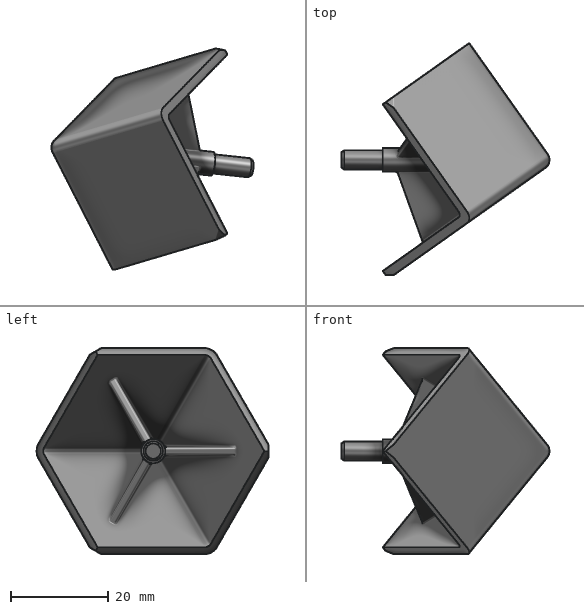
import cadquery as cq
import math

cube_edge = 30.0
wall = 2.0
outer_round = 2.0
inner_round = 1.0
tip_flat_radius = 23.7
tip_flat_round = 0.5

collar_radius = 2.5
pin_radius = 2.0
pin_length = 8.5
pin_chamfer_length = 0.6
pin_chamfer_depth = 0.45
stem_buried_x = -3.8

rib_hub_drop = 3.0
rib_tip_radius = 17.03
rib_top_width = 1.5
rib_draft = 0.5
rib_edge_round = 0.5
rib_root_round = 0.5

inner_corner_x = -wall * math.sqrt(3)
collar_end_x = -(2 * cube_edge + wall) / math.sqrt(3)
pin_end_x = collar_end_x - pin_length
rib_hub_x = collar_end_x + rib_hub_drop
wall_slope = math.sqrt(2)
wall_count = 3
tolerance = 0.005


def turn(shape, index):
    """Turn a shape about the X axis to the given one of the three walls."""
    return shape.rotate((0, 0, 0), (1, 0, 0), index * 360 / wall_count)


def rounded_cube(size, corner_round):
    """Cube in the positive octant with the three edges at the origin rounded."""
    cube = cq.Workplane("XY").box(size, size, size, centered=False)
    corner_edges = [
        edge for edge in cube.edges().vals()
        if min(edge.startPoint().Length, edge.endPoint().Length) < tolerance
    ]
    return cube.newObject(corner_edges).fillet(corner_round)


def make_shell():
    outer = rounded_cube(cube_edge, outer_round)
    inner = rounded_cube(cube_edge, inner_round).translate((wall, wall, wall))
    shell = outer.cut(inner)

    tilt = math.degrees(math.asin(1 / math.sqrt(3)))
    shell = shell.rotate((0, 0, 0), (0, 0, 1), -45)
    shell = shell.rotate((0, 0, 0), (0, 1, 0), 180 + tilt)
    shell = shell.rotate((0, 0, 0), (1, 0, 0), 90)

    block = 2 * cube_edge
    outside = cq.Workplane("XY").box(2 * block, block, block)
    outside = outside.translate((0, -tip_flat_radius - block / 2, 0))
    for index in range(wall_count):
        shell = shell.cut(turn(outside, index))

    edge_x = -wall_slope * tip_flat_radius
    flat_edges = [
        edge for edge in shell.edges().vals()
        if abs(edge.startPoint().x - edge_x) < tolerance
        and abs(edge.endPoint().x - edge_x) < tolerance
    ]
    return shell.newObject(flat_edges).fillet(tip_flat_round)


def make_stem():
    profile = [
        (stem_buried_x, 0),
        (stem_buried_x, collar_radius),
        (collar_end_x, collar_radius),
        (collar_end_x, pin_radius),
        (pin_end_x + pin_chamfer_length, pin_radius),
        (pin_end_x, pin_radius - pin_chamfer_depth),
        (pin_end_x, 0),
    ]
    return cq.Workplane("XY").polyline(profile).close().revolve(360, (0, 0, 0), (1, 0, 0))


def make_rib():
    """Drafted rib toward -Y, reaching from the axis to the middle of the wall thickness."""
    root_axis_x = inner_corner_x / 2
    wall_surface_x = inner_corner_x - wall_slope * rib_tip_radius
    top_slope = (wall_surface_x - rib_hub_x) / (rib_tip_radius - collar_radius)

    top_axis_x = rib_hub_x - top_slope * collar_radius
    buried_radius = (root_axis_x - top_axis_x) / (top_slope + wall_slope)
    side = [
        (top_axis_x, 0),
        (root_axis_x + stem_buried_x, 0),
        (root_axis_x - wall_slope * collar_radius, -collar_radius),
        (root_axis_x - wall_slope * buried_radius, -buried_radius),
    ]
    side_prism = cq.Workplane("XY").polyline(side).close().extrude(collar_radius, both=True)

    half_top = rib_top_width / 2
    half_root = half_top + (root_axis_x - top_axis_x) * math.tan(math.radians(rib_draft))
    section = [
        (top_axis_x, half_top),
        (root_axis_x, half_root),
        (root_axis_x, -half_root),
        (top_axis_x, -half_top),
    ]
    section_prism = cq.Workplane("XZ").polyline(section).close().extrude(cube_edge)
    rib = side_prism.intersect(section_prism)

    top_edges = [
        edge for edge in rib.edges().vals()
        if abs(min(edge.startPoint().x, edge.endPoint().x) - top_axis_x) < tolerance
        and abs(min(edge.startPoint().y, edge.endPoint().y) + buried_radius) < tolerance
    ]
    return rib.newObject(top_edges).fillet(rib_edge_round)


def is_root_edge(edge):
    """True for an edge where the rib toward -Y meets the stem or the wall."""
    middle = edge.positionAt(0.5)
    beside_rib = abs(middle.z) < collar_radius / 2 and middle.y < -collar_radius / 2
    if not beside_rib or middle.x < rib_hub_x - rib_edge_round:
        return False
    on_wall = all(
        abs(point.x - inner_corner_x - wall_slope * point.y) < tolerance
        for point in (edge.startPoint(), middle, edge.endPoint())
    )
    on_stem = all(
        abs(math.hypot(point.y, point.z) - collar_radius) < tolerance
        for point in (edge.startPoint(), middle, edge.endPoint())
    )
    return on_wall or on_stem


def add_rib(body, index):
    """Join a rib to one wall and the stem, and fillet its root."""
    body = turn(body, -index).union(make_rib())
    root_edges = [edge for edge in body.edges().vals() if is_root_edge(edge)]
    return turn(body.newObject(root_edges).fillet(rib_root_round), index)


result = make_shell().union(make_stem())
for wall_index in range(wall_count):
    result = add_rib(result, wall_index)